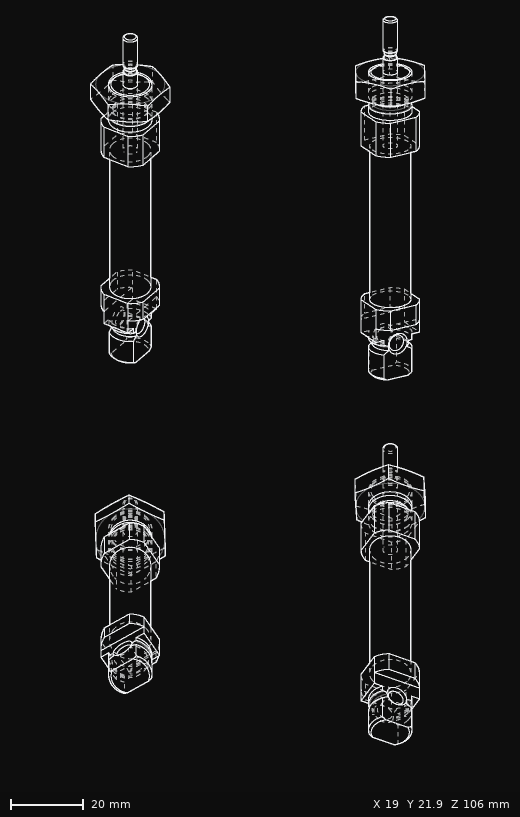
import cadquery as cq
import math

total_height = 106.0
nut_top = 90.0
nut_height = 5.9
head_top = 78.1
head_bottom = 67.9
cap_top = 21.9
cap_bottom = 16.1
shoulder_bottom = 12.1

tube_diameter = 11.3
block_width = 14.0
flat_width = 8.1
block_corner_diameter = math.hypot(block_width, flat_width)

collar_diameter = 12.0
groove_diameter = 10.0
collar_tip_diameter = 10.6
collar_groove_shoulder = 80.0
eye_groove_shoulder = 10.4
groove_length = 2.6
groove_fillet = 0.6
groove_cone = (collar_diameter - groove_diameter) / 2
eye_chamfer = 0.7

pivot_height = 10.2
pivot_waist_diameter = 4.1
pivot_end_diameter = 4.6
pivot_mouth_diameter = 6.0
pivot_chamfer = (pivot_mouth_diameter - pivot_end_diameter) / 2

rod_diameter = 4.0
rod_tip_diameter = 3.2
rod_chamfer = (rod_diameter - rod_tip_diameter) / 2
rod_neck_diameter = 3.5
rod_neck_bottom = 94.2
rod_neck_top = 96.5
rod_waist_diameter = 3.2
rod_waist_bottom = 94.7
rod_waist_top = 95.6
rod_waist_upper_taper = 0.3

nut_across_flats = 19.0
nut_across_corners = nut_across_flats / math.cos(math.pi / 6)
nut_chamfer_height = 0.4


def cylinder(diameter, bottom, top):
    return cq.Workplane("XY").workplane(offset=bottom).circle(diameter / 2).extrude(top - bottom)


def box(width_x, width_y, bottom, top):
    return cq.Workplane("XY").workplane(offset=bottom).rect(width_x, width_y).extrude(top - bottom)


def turned(half_profile):
    """Revolve (radius, height) points around Z."""
    return cq.Workplane("XZ").polyline(half_profile).close().revolve(360, (0, 0), (0, 1))


def end_block(bottom, top):
    """Square block with its corners turned round."""
    square = box(block_width, block_width, bottom, top)
    return square.intersect(cylinder(block_corner_diameter, bottom, top))


def thread_groove(shoulder, direction):
    """Ring removed by a groove: flat filleted shoulder at one end, 45 degree cone at the other.

    The groove runs from the shoulder level upward (direction 1) or downward (direction -1).
    """
    outer = collar_diameter / 2
    floor = groove_diameter / 2
    diagonal = groove_fillet * (1 - math.sqrt(0.5))
    far_end = shoulder + direction * groove_length
    profile = (
        cq.Workplane("XZ")
        .moveTo(outer, shoulder)
        .lineTo(floor + groove_fillet, shoulder)
        .threePointArc(
            (floor + diagonal, shoulder + direction * diagonal),
            (floor, shoulder + direction * groove_fillet),
        )
        .lineTo(floor, far_end - direction * groove_cone)
        .lineTo(outer, far_end)
        .close()
    )
    return profile.revolve(360, (0, 0), (0, 1))


def make_collar():
    outer = collar_diameter / 2
    tip = collar_tip_diameter / 2
    blank = turned([
        (0, head_top),
        (outer, head_top),
        (outer, nut_top - (outer - tip)),
        (tip, nut_top),
        (0, nut_top),
    ])
    return blank.cut(thread_groove(collar_groove_shoulder, 1))


def make_eye():
    outer = collar_diameter / 2
    turned_eye = turned([
        (0, 0),
        (outer - eye_chamfer, 0),
        (outer, eye_chamfer),
        (outer, shoulder_bottom),
        (0, shoulder_bottom),
    ])
    turned_eye = turned_eye.cut(thread_groove(eye_groove_shoulder, -1))
    tongue = turned_eye.union(end_block(shoulder_bottom, cap_bottom))
    return tongue.intersect(box(flat_width, block_width, 0, cap_bottom))


def make_pivot_hole():
    """Chamfered hole along X whose wall bows in smoothly to a waist halfway through."""
    half_width = flat_width / 2
    bore_end = half_width - pivot_chamfer
    end_radius = pivot_end_diameter / 2
    mouth_radius = pivot_mouth_diameter / 2
    profile = (
        cq.Workplane("XZ")
        .moveTo(-half_width, 0)
        .lineTo(-half_width, mouth_radius)
        .lineTo(-bore_end, end_radius)
        .threePointArc((0, pivot_waist_diameter / 2), (bore_end, end_radius))
        .lineTo(half_width, mouth_radius)
        .lineTo(half_width, 0)
        .close()
    )
    hole = profile.revolve(360, (0, 0), (1, 0))
    return hole.translate((0, 0, pivot_height))


def make_housing():
    body = cylinder(tube_diameter, cap_top, head_bottom)
    body = body.union(end_block(head_bottom, head_top))
    body = body.union(make_collar())
    body = body.union(end_block(cap_bottom, cap_top))
    body = body.union(make_eye())
    rod_bore = cylinder(rod_diameter, head_bottom, nut_top)
    return body.cut(make_pivot_hole()).cut(rod_bore)


def make_rod():
    outer = rod_diameter / 2
    neck = rod_neck_diameter / 2
    waist = rod_waist_diameter / 2
    return turned([
        (0, head_bottom),
        (outer, head_bottom),
        (outer, rod_neck_bottom),
        (neck, rod_neck_bottom),
        (neck, rod_waist_bottom),
        (waist, rod_waist_top - rod_waist_upper_taper),
        (neck, rod_waist_top),
        (neck, rod_neck_top),
        (outer, rod_neck_top),
        (outer, total_height - rod_chamfer),
        (rod_tip_diameter / 2, total_height),
        (0, total_height),
    ])


def make_nut():
    """Hexagon with corners on Y, coned at both faces and bored for the collar."""
    bottom = nut_top - nut_height
    face = nut_across_flats / 2
    corner = nut_across_corners / 2
    hexagon = cq.Workplane("XY").workplane(offset=bottom).polygon(6, nut_across_corners).extrude(nut_height)
    hexagon = hexagon.rotate((0, 0, 0), (0, 0, 1), 90)
    coned_disc = turned([
        (0, bottom),
        (face, bottom),
        (corner, bottom + nut_chamfer_height),
        (corner, nut_top - nut_chamfer_height),
        (face, nut_top),
        (0, nut_top),
    ])
    return hexagon.intersect(coned_disc).cut(cylinder(collar_diameter, bottom, nut_top))


housing = make_housing()
rod = make_rod()
nut = make_nut()
result = cq.Compound.makeCompound([housing.val(), rod.val(), nut.val()])